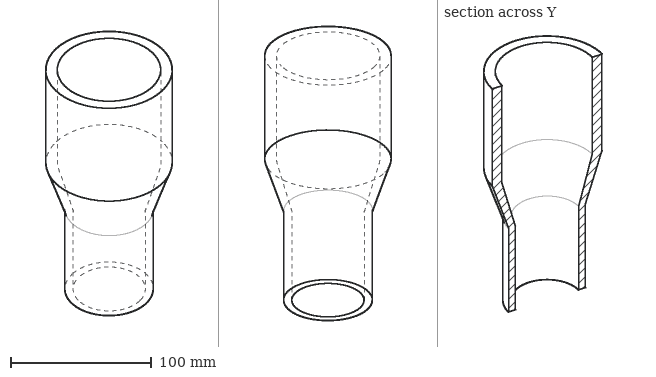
import cadquery as cq

total_length = 196.0
spigot_length = 72.0
socket_length = 83.1

spigot_outer_diameter = 63.1
spigot_bore_diameter = 51.4
socket_outer_diameter = 90.0
socket_bore_diameter = 73.5

cone_bottom = spigot_length
cone_top = total_length - socket_length


def stepped_body(lower_diameter, upper_diameter):
    """Solid of revolution about Z: lower cylinder, cone, upper cylinder."""
    lower_radius = lower_diameter / 2
    upper_radius = upper_diameter / 2
    return (
        cq.Workplane("XZ")
        .lineTo(lower_radius, 0)
        .lineTo(lower_radius, cone_bottom)
        .lineTo(upper_radius, cone_top)
        .lineTo(upper_radius, total_length)
        .lineTo(0, total_length)
        .close()
        .revolve(360, (0, 0), (0, 1))
    )


outside = stepped_body(spigot_outer_diameter, socket_outer_diameter)
bore = stepped_body(spigot_bore_diameter, socket_bore_diameter)

result = outside.cut(bore)